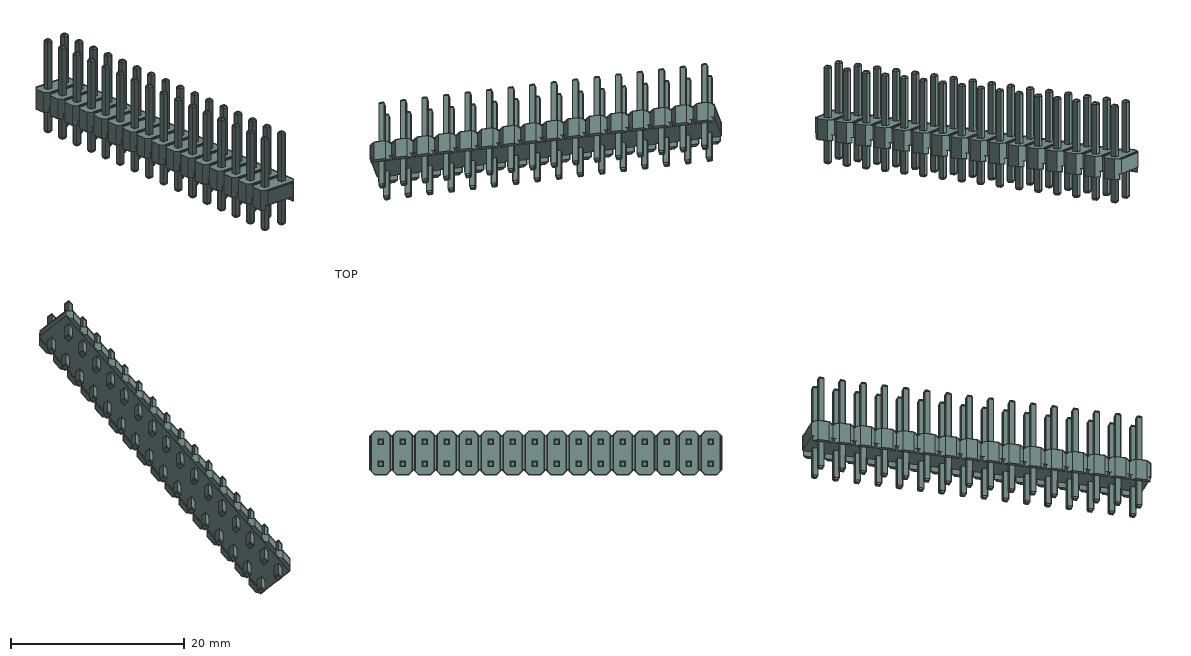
import cadquery as cq

length = 40.65
columns = 16
rows = 2
pitch = length / columns
width = rows * pitch

body_height = 2.48
corner_chamfer = 0.6
foot_setback = 0.142
side_wall = corner_chamfer - foot_setback
channel_depth = 0.65
ledge_width = 0.12
ledge_depth = 0.1

total_height = 11.6
tail_length = 3.0
pin_size = pitch / 4
tip_length = 0.2
tip_inset = 0.1


def make_cell():
    """Octagonal body segment with a shallow ledge along the top of each shared side."""
    cell = (
        cq.Workplane("XY")
        .rect(pitch, width)
        .extrude(body_height)
        .edges("|Z")
        .chamfer(corner_chamfer)
    )
    side_length = width - 2 * corner_chamfer
    for side in (-1, 1):
        ledge_profile = [
            (0, 0),
            (-side * (ledge_width + ledge_depth), 0),
            (-side * ledge_width, -ledge_depth),
            (0, -ledge_depth),
        ]
        ledge = (
            cq.Workplane("XZ", origin=(side * pitch / 2, side_length / 2, body_height))
            .polyline(ledge_profile)
            .close()
            .extrude(side_length)
        )
        cell = cell.cut(ledge)
    return cell


def make_channel():
    """Channel along the underside that leaves a row of feet on each long side."""
    channel_width = width - 2 * side_wall
    return cq.Workplane("XY").box(length, channel_width, channel_depth, centered=(True, True, False))


def make_pin():
    """Square pin with a tapered tip at both ends."""
    end_size = pin_size - 2 * tip_inset
    pin = (
        cq.Workplane("XY")
        .workplane(offset=tip_length - tail_length)
        .rect(pin_size, pin_size)
        .extrude(total_height - 2 * tip_length)
    )
    for end in (">Z", "<Z"):
        tip = (
            pin.faces(end)
            .workplane()
            .rect(pin_size, pin_size)
            .workplane(offset=tip_length)
            .rect(end_size, end_size)
            .loft(ruled=True, combine=False)
        )
        pin = pin.union(tip)
    return pin


def repeat_in_grid(shape, row_count):
    """Copies of a shape on the pin grid, centred on the origin."""
    solid = shape.val()
    return cq.Workplane("XY").rarray(pitch, pitch, columns, row_count).eachpoint(solid.moved, combine=True)


body = repeat_in_grid(make_cell(), 1).cut(make_channel())
pins = repeat_in_grid(make_pin(), rows)
result = body.union(pins)